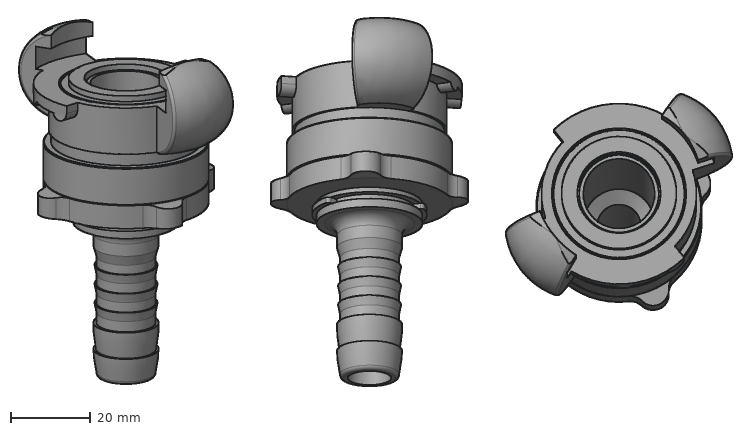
import cadquery as cq
import math


tail_d = 15.0
shank_d = 16.5
small_barb_d = 16.0
large_barb_foot_d = 15.3
tip_round = 1.0
large_barb_z = 7.2
large_barb_height = 7.0
large_barb_bulge_r = 26.6
small_barb_z = 19.4
small_barb_height = 2.4
small_barb_pitch = 5.1
small_barb_count = 3
shank_cone_z = 32.0
shank_z = 34.7
collar_fillet = 3.1

collar_d = 26.8
collar_z = 41.1
groove_d = 23.0
groove_z = 43.3
groove_width = 1.8
clip_d = 29.0
clip_thickness = 1.5
clip_opening = 116
clip_end_round = 0.9

nut_d = 41.9
nut_z = 46.3
nut_top = 62.5
nut_chamfer = 0.3
lobe_ring_height = 6.1
lobe_count = 4
lobe_angle = 75.5
lobe_r = 4.0
lobe_centre_r = 20.9
lobe_blend = 4.1
lobe_drop = 0.4

neck_d = 38.0
head_d = 39.1
head_z = 65.7
face_z = 78.0

flange_d = 46.8
flange_thickness = 3.0
bump_r = 2.6
bump_drop = 1.5
bump_angles = (-90, -125)

claw_half_angle = 20.4
claw_count = 2
claw_r = 11.8
claw_centre_x = 19.6
claw_centre_z = 77.0
claw_cross_r = 19.5
claw_edge_round = 0.8
claw_top = 88.7
claw_cap_r = 24.5
claw_gap_top = 84.0
claw_wall_r = 25.4
claw_tip_r = 21.0

bore_d = 11.0
wide_bore_d = 18.0
bore_cone_height = 2.2
seal_d = 29.0
seal_top = 79.5
seal_bore_d = 21.0
liner_d = 20.05
liner_top = 78.2
liner_gap_depth = 0.9
seat_inner_d = 33.0
seat_outer_d = 33.3
seat_chamfer_d = 34.0
seat_depth = 0.9


def cylinder(diameter, bottom, top):
    return cq.Workplane("XY").workplane(offset=bottom).circle(diameter / 2).extrude(top - bottom)


def revolve_about_z(points):
    return cq.Workplane("XZ").polyline(points).close().revolve(360, (0, 0), (0, 1))


def make_hose_tail():
    r = tail_d / 2
    profile = cq.Workplane("XZ").moveTo(0, 0).lineTo(r - tip_round, 0)
    profile = profile.radiusArc((r, tip_round), -tip_round)
    profile = profile.radiusArc((shank_d / 2, large_barb_z), -large_barb_bulge_r)
    profile = profile.lineTo(large_barb_foot_d / 2, large_barb_z)
    profile = profile.radiusArc(
        (shank_d / 2, large_barb_z + large_barb_height), -large_barb_bulge_r)
    profile = profile.lineTo(r, large_barb_z + large_barb_height)
    for i in range(small_barb_count):
        edge_z = small_barb_z + i * small_barb_pitch
        profile = profile.lineTo(r, edge_z - small_barb_height)
        profile = profile.lineTo(small_barb_d / 2, edge_z).lineTo(r, edge_z)
    profile = profile.lineTo(r, shank_cone_z).lineTo(shank_d / 2, shank_z)
    profile = profile.lineTo(shank_d / 2, collar_z - collar_fillet)
    profile = profile.radiusArc((shank_d / 2 + collar_fillet, collar_z), collar_fillet)
    return profile.lineTo(0, collar_z).close().revolve(360, (0, 0), (0, 1))


def make_collar():
    groove_top = groove_z + groove_width
    collar = cylinder(collar_d, collar_z, groove_z)
    collar = collar.union(cylinder(groove_d, groove_z, groove_top))
    collar = collar.union(cylinder(collar_d, groove_top, nut_z))
    clip_z = groove_z + (groove_width - clip_thickness) / 2
    clip = cylinder(clip_d, clip_z, clip_z + clip_thickness)
    opening_y = clip_d * math.tan(math.radians(clip_opening / 2))
    opening = (
        cq.Workplane("XY").workplane(offset=clip_z)
        .polyline([(0, 0), (-clip_d, opening_y), (-clip_d, -opening_y)])
        .close().extrude(clip_thickness)
    )
    clip = clip.cut(opening).edges("|Z and <X").fillet(clip_end_round)
    return collar.union(clip)


def make_nut():
    r = nut_d / 2
    ring_top = nut_z + lobe_ring_height
    ring = cylinder(nut_d, nut_z, ring_top)
    lobes = (
        cq.Workplane("XY").workplane(offset=nut_z)
        .polarArray(lobe_centre_r, lobe_angle, 360, lobe_count)
        .circle(lobe_r).extrude(lobe_ring_height)
    )
    ring = ring.union(lobes)
    ring = ring.edges("|Z").fillet(lobe_blend)
    lobe_tip_r = lobe_centre_r + lobe_r
    envelope = revolve_about_z([
        (0, nut_z), (r, nut_z), (lobe_tip_r, nut_z + lobe_drop),
        (lobe_tip_r, ring_top - lobe_drop), (r, ring_top), (0, ring_top),
    ])
    ring = ring.intersect(envelope)
    sleeve = cylinder(nut_d, ring_top, nut_top).faces("<Z or >Z").chamfer(nut_chamfer)
    return ring.union(sleeve)


def make_flange():
    bottom = face_z - flange_thickness
    bump_z = bottom - bump_drop + bump_r
    flange = cylinder(2 * flange_d, bottom, face_z)
    square_end = (
        cq.Workplane("XY").workplane(offset=bottom)
        .box(bump_r, flange_d, bump_z - bottom, centered=(False, True, False))
    )
    flange = flange.cut(square_end)
    for angle in bump_angles:
        bump = (
            cq.Workplane("YZ").center(0, bump_z)
            .circle(bump_r).extrude(flange_d)
            .rotate((0, 0, 0), (0, 0, 1), angle)
        )
        flange = flange.union(bump)
    flange = flange.intersect(cylinder(flange_d, head_z, face_z))
    claw_middle = math.radians(180 + claw_half_angle / 2)
    reach = flange_d
    extent = (
        cq.Workplane("XY").workplane(offset=head_z)
        .polyline([
            (bump_r, 0), (bump_r, -reach), (-reach, -reach),
            (reach * math.cos(claw_middle), reach * math.sin(claw_middle)), (0, 0),
        ])
        .close().extrude(face_z - head_z)
    )
    return flange.intersect(extent)


def make_claw():
    axis_x = claw_centre_x + claw_r - claw_cross_r
    crown = (
        cq.Workplane("XZ")
        .moveTo(axis_x, claw_centre_z - claw_r).lineTo(claw_centre_x, claw_centre_z - claw_r)
        .threePointArc((claw_centre_x + claw_r, claw_centre_z),
                       (claw_centre_x, claw_centre_z + claw_r))
        .lineTo(axis_x, claw_centre_z + claw_r).close()
        .revolve(360, (axis_x, 0), (axis_x, 1))
    )
    reach = claw_centre_x + 2 * claw_r
    half_width = reach * math.tan(math.radians(claw_half_angle))
    sector = (
        cq.Workplane("XY").workplane(offset=head_z)
        .polyline([(0, 0), (reach, -half_width), (reach, half_width)])
        .close().extrude(2 * claw_r)
    )
    claw = crown.intersect(sector)
    claw = claw.edges(">Y or <Y").fillet(claw_edge_round)
    cap = (
        cq.Workplane("YZ").center(0, claw_top - claw_cap_r)
        .circle(claw_cap_r).extrude(reach)
    )
    claw = claw.intersect(cap)
    claw = claw.cut(cylinder(2 * claw_wall_r, face_z, claw_gap_top))
    return claw.cut(cylinder(2 * claw_tip_r, claw_gap_top, 2 * claw_centre_z))


def make_bore():
    bore = revolve_about_z([
        (0, 0), (bore_d / 2, 0), (bore_d / 2, collar_z),
        (wide_bore_d / 2, collar_z + bore_cone_height),
        (wide_bore_d / 2, liner_top), (liner_d / 2, liner_top),
        (liner_d / 2, liner_top - liner_gap_depth), (seal_bore_d / 2, liner_top - liner_gap_depth),
        (seal_bore_d / 2, seal_top), (0, seal_top),
    ])
    chamfer = (seat_chamfer_d - seat_outer_d) / 2
    seat = revolve_about_z([
        (seat_inner_d / 2, face_z), (seat_inner_d / 2, face_z - seat_depth),
        (seat_outer_d / 2, face_z - seat_depth), (seat_outer_d / 2, face_z - chamfer),
        (seat_chamfer_d / 2, face_z),
    ])
    return bore.union(seat)


body = make_hose_tail().union(make_collar()).union(make_nut())
body = body.union(cylinder(neck_d, nut_top, head_z)).union(cylinder(head_d, head_z, face_z))
flange_and_claw = make_flange().union(make_claw())
for i in range(claw_count):
    body = body.union(flange_and_claw.rotate((0, 0, 0), (0, 0, 1), i * 360 / claw_count))
body = body.union(cylinder(seal_d, face_z, seal_top))
result = body.cut(make_bore())